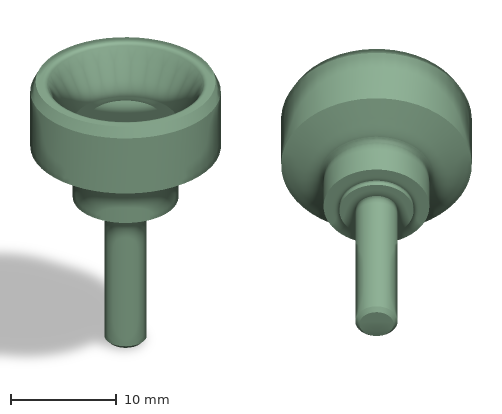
import cadquery as cq

total_height = 28.0

knob_diameter = 18.0
rim_chamfer_width = 0.5
rim_chamfer_height = 1.0
grip_height = 6.0
underside_height = 1.6
hub_diameter = 10.0
hub_height = 3.9
neck_fillet = 0.5

cup_mouth_diameter = 15.0
cup_depth = 4.42
cup_lip_fillet = 0.5

core_diameter = 7.0
core_projection_below = 0.55
core_projection_above = 0.4
shaft_diameter = 4.0
shaft_tip_chamfer = 0.4

knob_radius = knob_diameter / 2
hub_radius = hub_diameter / 2
cup_mouth_radius = cup_mouth_diameter / 2
cup_floor_z = total_height - cup_depth
grip_top_z = total_height - rim_chamfer_height
grip_bottom_z = grip_top_z - grip_height
hub_top_z = grip_bottom_z - underside_height
hub_bottom_z = hub_top_z - hub_height
core_bottom_z = hub_bottom_z - core_projection_below
core_top_z = cup_floor_z + core_projection_above


def circle_edge_at(radius, z):
    """Select a circular edge about the Z axis by its radius and height."""
    reach = 0.003
    return cq.selectors.BoxSelector(
        (-radius - reach, -radius - reach, z - reach),
        (radius + reach, radius + reach, z + reach),
        boundingbox=True,
    )


def make_knob():
    """Revolved knob with a conical cup and a through bore for the stud core."""
    bore_radius = core_diameter / 2
    profile = (
        cq.Workplane("XZ")
        .moveTo(bore_radius, hub_bottom_z)
        .lineTo(hub_radius, hub_bottom_z)
        .lineTo(hub_radius, hub_top_z)
        .lineTo(knob_radius, grip_bottom_z)
        .lineTo(knob_radius, grip_top_z)
        .lineTo(knob_radius - rim_chamfer_width, total_height)
        .lineTo(cup_mouth_radius, total_height)
        .lineTo(hub_radius, cup_floor_z)
        .lineTo(bore_radius, cup_floor_z)
        .close()
    )
    knob = profile.revolve(360, (0, 0, 0), (0, 1, 0))
    knob = knob.edges(circle_edge_at(hub_radius, hub_top_z)).fillet(neck_fillet)
    return knob.edges(circle_edge_at(cup_mouth_radius, total_height)).fillet(cup_lip_fillet)


def make_stud():
    """Shaft with a chamfered tip, carrying the wider core that fills the bore."""
    shaft = (
        cq.Workplane("XY")
        .circle(shaft_diameter / 2)
        .extrude(core_bottom_z)
        .faces("<Z")
        .chamfer(shaft_tip_chamfer)
    )
    core = (
        cq.Workplane("XY", origin=(0, 0, core_bottom_z))
        .circle(core_diameter / 2)
        .extrude(core_top_z - core_bottom_z)
    )
    return shaft.union(core)


knob = make_knob()
stud = make_stud()

result = cq.Compound.makeCompound([knob.solids().val(), stud.solids().val()])